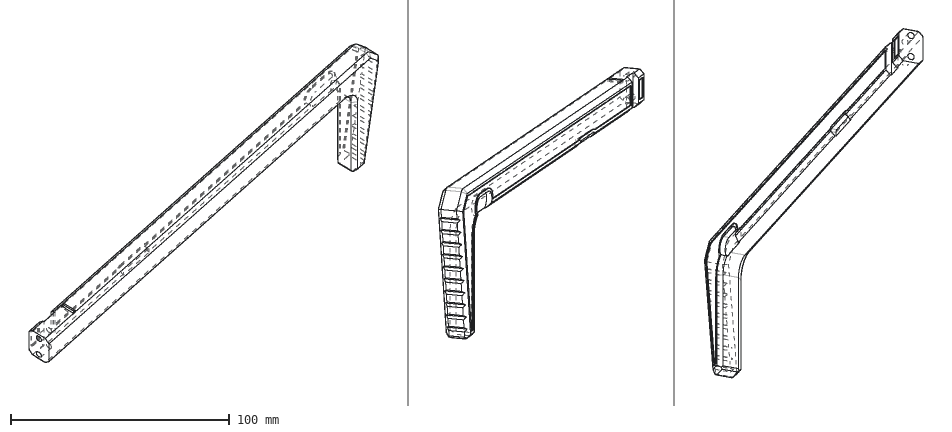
import cadquery as cq
import math

LENGTH = 238.0
WIDTH = 12.0
HEIGHT = 72.0
BEAM_DEPTH = 16.5
SIDE_X = -WIDTH / 2
BEAM_BOTTOM = HEIGHT - BEAM_DEPTH

BACK_CORNER_LENGTH = 7.1
BACK_CORNER_DROP = 8.5
BACK_CORNER_RADIUS = 2.9
LEG_FRONT_Y = 218.5
LEG_CORNER_RADIUS = 7.9
TOE_BACK_Y = 227.2
TOE_CHAMFER = 1.2

EDGE_CHAMFER = 2.1

GROOVE_COUNT = 10
GROOVE_START = 5.0
GROOVE_END = 59.5
GROOVE_PITCH = (GROOVE_END - GROOVE_START) / (GROOVE_COUNT - 1)
GROOVE_DEPTH = 1.07

SIDE_CUT_DEPTH = 2.5
NOTCH_FRONT_Y = 7.5
NOTCH_LENGTH = 8.0
FINGER_SLOT_LENGTH = 19.3
FINGER_SLOT_HEIGHT = 9.0
FINGER_SLOT_FRONT_Y = 197.7
FINGER_SLOT_Z = 59.7
BOTTOM_CUT_FRONT_Y = 64.5
BOTTOM_CUT_LENGTH = 18.3
BOTTOM_CUT_HEIGHT = 2.9
BOTTOM_CUT_RADIUS = 1.0

PANEL_BORDER = 1.5
PANEL_DEPTH = 0.5

TOP_SLOT_FRONT_Y = 20.2
TOP_SLOT_LENGTH = 2.0
TOP_SLOT_WIDTH = 6.7
TOP_SLOT_DEPTH = 1.2

HOLE_DIAMETER = 3.0
HOLE_DEPTH = 7.1
HOLE_INSET = 2.9


def box_between(corner, size):
    return cq.Workplane("XY").box(*size, centered=False).translate(corner)


def make_body():
    """Beam and leg as one outline, chamfered along its sides (not at the front end) and toe."""
    outline = (
        cq.Workplane("YZ", origin=(SIDE_X, 0, 0))
        .moveTo(0, BEAM_BOTTOM)
        .lineTo(LEG_FRONT_Y, BEAM_BOTTOM)
        .lineTo(LEG_FRONT_Y, 0)
        .lineTo(TOE_BACK_Y, 0)
        .lineTo(LENGTH, HEIGHT - BACK_CORNER_DROP)
        .lineTo(LENGTH - BACK_CORNER_LENGTH, HEIGHT)
        .lineTo(0, HEIGHT)
        .close()
    )
    body = outline.extrude(WIDTH)
    leg_corner = cq.selectors.NearestToPointSelector((0, LEG_FRONT_Y, BEAM_BOTTOM))
    back_corner = cq.selectors.NearestToPointSelector((0, LENGTH - BACK_CORNER_LENGTH, HEIGHT))
    body = body.edges("|X").edges(leg_corner).fillet(LEG_CORNER_RADIUS)
    body = body.edges("|X").edges(back_corner).fillet(BACK_CORNER_RADIUS)
    body = body.faces("<X or >X").edges("not <Y").chamfer(EDGE_CHAMFER)
    return body.faces("<Z").edges("|X").chamfer(TOE_CHAMFER)


def grip_grooves():
    """V grooves across the leg, evenly spaced down its sloping back."""
    top_z = HEIGHT - BACK_CORNER_DROP
    slope = math.atan2(LENGTH - TOE_BACK_Y, top_z)
    bar_side = GROOVE_DEPTH * math.sqrt(2)
    groove = (
        cq.Workplane("XY")
        .rect(bar_side, bar_side)
        .extrude(WIDTH)
        .rotate((0, 0, 0), (0, 0, 1), 45)
        .rotate((0, 0, 0), (0, 1, 0), 90)
        .rotate((0, 0, 0), (1, 0, 0), -math.degrees(slope))
    )
    grooves = cq.Workplane("XY")
    for index in range(GROOVE_COUNT):
        distance = GROOVE_START + index * GROOVE_PITCH
        place = (SIDE_X, LENGTH - distance * math.sin(slope), top_z - distance * math.cos(slope))
        grooves = grooves.add(groove.translate(place))
    return grooves.combine()


def side_cuts():
    """Full-height notch, rounded finger slot and bottom cut, all to one depth in the left side."""
    notch = box_between(
        (SIDE_X, NOTCH_FRONT_Y, BEAM_BOTTOM), (SIDE_CUT_DEPTH, NOTCH_LENGTH, BEAM_DEPTH)
    )
    finger_slot = (
        cq.Workplane("YZ", origin=(SIDE_X, 0, 0))
        .center(FINGER_SLOT_FRONT_Y + FINGER_SLOT_LENGTH / 2, FINGER_SLOT_Z)
        .slot2D(FINGER_SLOT_LENGTH, FINGER_SLOT_HEIGHT)
        .extrude(SIDE_CUT_DEPTH)
    )
    bottom_cut = box_between(
        (SIDE_X, BOTTOM_CUT_FRONT_Y, BEAM_BOTTOM),
        (SIDE_CUT_DEPTH, BOTTOM_CUT_LENGTH, BOTTOM_CUT_HEIGHT),
    )
    bottom_cut = bottom_cut.edges("|X and >Z").fillet(BOTTOM_CUT_RADIUS)
    return notch.union(finger_slot).union(bottom_cut)


def side_panels(body):
    """One panel for each flat area left on the left side, set in from that area's outline."""
    panels = cq.Workplane("XY")
    for face in body.faces("<X").vals():
        for wire in face.outerWire().offset2D(-PANEL_BORDER, "intersection"):
            panel = cq.Solid.extrudeLinear(wire, [], cq.Vector(PANEL_DEPTH, 0, 0))
            panels = panels.add(panel)
    return panels.combine()


def top_slot():
    return box_between(
        (-TOP_SLOT_WIDTH / 2, TOP_SLOT_FRONT_Y, HEIGHT - TOP_SLOT_DEPTH),
        (TOP_SLOT_WIDTH, TOP_SLOT_LENGTH, TOP_SLOT_DEPTH),
    )


def front_holes():
    return (
        cq.Workplane("XZ")
        .pushPoints([(0, HEIGHT - HOLE_INSET), (0, BEAM_BOTTOM + HOLE_INSET)])
        .circle(HOLE_DIAMETER / 2)
        .extrude(-HOLE_DEPTH)
    )


body = make_body().cut(grip_grooves()).cut(side_cuts())
body = body.cut(side_panels(body))
result = body.cut(top_slot()).cut(front_holes())